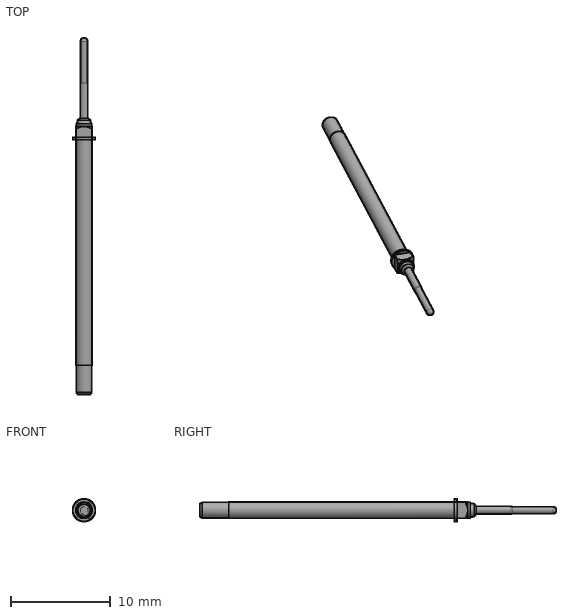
import cadquery as cq
import math


barrel_radius = 0.825
barrel_length = 22.6
tail_radius = 0.80
tail_length = 2.95
tail_chamfer_width = 0.18
tail_chamfer_length = 0.25
tail_end_y = -(barrel_length + tail_length)

flange_radius = 1.15
flange_thickness = 0.28

collar_width = 1.65
collar_front_y = 1.37
collar_cone_radius = 0.80
collar_cone_end_y = 1.10
collar_corner_radius = 1.17

neck_radius = 0.80
neck_front_y = 1.62
nose_base_radius = 0.73
nose_front_radius = 0.65
nose_front_y = 2.0
nose_chamfer_y = 2.2

root_radius = 0.40
stem_radius = 0.37
root_front_y = 5.80
root_chamfer = 0.12
overall_length = 35.8
tip_y = tail_end_y + overall_length

tip_length = stem_radius
tip_arc_middle = (
    tip_length * math.sin(math.pi / 4),
    tip_y - tip_length + tip_length * math.cos(math.pi / 4),
)


def make_turned_body():
    """Revolve the half outline of all the round stretches about the Y axis."""
    outline = (
        cq.Workplane("XY")
        .moveTo(0, tail_end_y)
        .lineTo(tail_radius - tail_chamfer_width, tail_end_y)
        .lineTo(tail_radius, tail_end_y + tail_chamfer_length)
        .lineTo(tail_radius, -barrel_length)
        .lineTo(barrel_radius, -barrel_length)
        .lineTo(barrel_radius, 0)
        .lineTo(flange_radius, 0)
        .lineTo(flange_radius, flange_thickness)
        .lineTo(neck_radius, flange_thickness)
        .lineTo(neck_radius, neck_front_y)
        .lineTo(nose_base_radius, neck_front_y)
        .lineTo(nose_front_radius, nose_front_y)
        .lineTo(root_radius, nose_chamfer_y)
        .lineTo(root_radius, root_front_y - root_chamfer)
        .lineTo(stem_radius, root_front_y)
        .lineTo(stem_radius, tip_y - tip_length)
        .threePointArc(tip_arc_middle, (0, tip_y))
        .close()
    )
    return outline.revolve(360, (0, 0, 0), (0, 1, 0))


def make_square_collar():
    """Square block whose front corners are cut back by a coaxial cone."""
    block = cq.Workplane("XY").box(
        collar_width, collar_front_y, collar_width, centered=(True, False, True)
    )
    envelope = (
        cq.Workplane("XY")
        .moveTo(0, 0)
        .lineTo(collar_corner_radius, 0)
        .lineTo(collar_corner_radius, collar_cone_end_y)
        .lineTo(collar_cone_radius, collar_front_y)
        .lineTo(0, collar_front_y)
        .close()
        .revolve(360, (0, 0, 0), (0, 1, 0))
    )
    return block.intersect(envelope)


result = make_turned_body().union(make_square_collar())